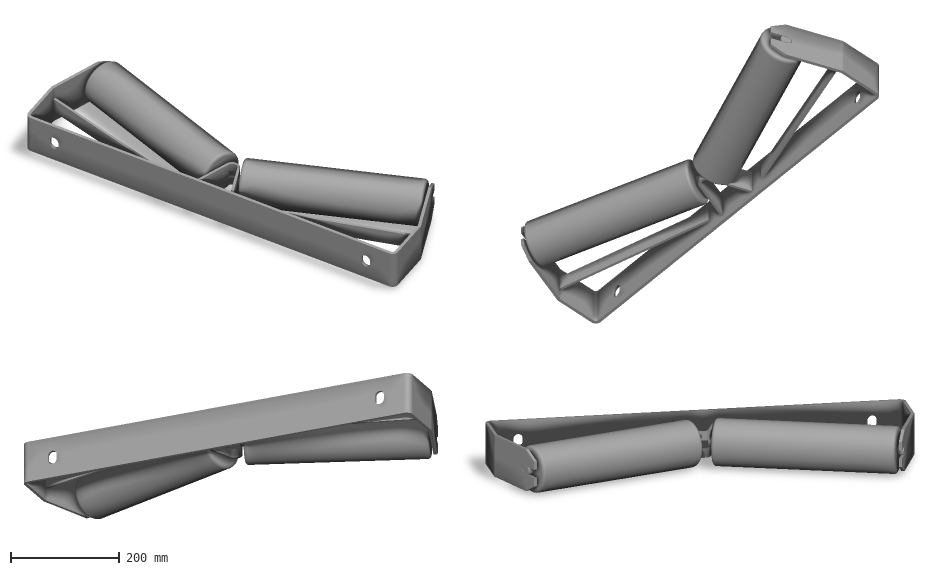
import cadquery as cq
import math

TILT = 20.0
SIN = math.sin(math.radians(TILT))
COS = math.cos(math.radians(TILT))

FRAME_WIDTH = 790.0
STRIP_HEIGHT = 80.0
PLATE = 6.0
FRAME_BEND = 12.0
KNEE_Y = 96.0
TIP_LENGTH = 30.0
TIP_CHAMFER_LENGTH = 30.0
TIP_CHAMFER_HEIGHT = 16.0
MOUNT_SPACING = 666.0
MOUNT_WIDTH = 18.0
MOUNT_LENGTH = 26.0

BRACKET_HEIGHT = 50.0
BRACKET_PLATE = 5.0
BRACKET_TOP = 96.0
BRACKET_BEND = 15.0

ROLLER_DIAMETER = 89.0
ROLLER_LENGTH = 344.0
ROLLER_ROUND = 6.0
AXLE_DIAMETER = 20.0
AXLE_FLATS = 14.0
AXLE_SLOT = 16.0
AXIS_OFFSET = 68.2

STRUT_PLATE = 5.0
STRUT_HEIGHT = 30.0
STRUT_TOP_Y = 96.0
STRUT_EMBED = PLATE / 2
STRUT_FOOT_X = 74.0

HALF_WIDTH = FRAME_WIDTH / 2
LEG_OUTER = -HALF_WIDTH * COS - KNEE_Y * SIN
LEG_INNER = LEG_OUTER + PLATE
BRACKET_CENTRE_Y = BRACKET_TOP - BRACKET_BEND
BRACKET_OUTER = -BRACKET_CENTRE_Y * SIN - BRACKET_BEND
BRACKET_INNER = BRACKET_OUTER + BRACKET_PLATE
ROLLER_MIDDLE = (LEG_INNER + BRACKET_OUTER) / 2

ACROSS_PLANE = cq.Plane(
    origin=(AXIS_OFFSET * SIN, AXIS_OFFSET * COS, 0),
    xDir=(SIN, COS, 0),
    normal=(COS, -SIN, 0),
)


def mirrored(shape):
    """Copy of a left-hand shape on the right-hand side."""
    return shape.mirror("YZ")


def centred_extrude(sketch, height):
    """Extrude an XY outline equally up and down."""
    return sketch.extrude(height / 2, both=True)


def axle_slot(start, end):
    """Slot cutter, open away from the base, with its round end seated under the axle."""
    half = AXLE_SLOT / 2
    flat = AXLE_FLATS / 2
    axle_corner = -math.sqrt((AXLE_DIAMETER / 2) ** 2 - flat**2)
    end_centre = axle_corner + math.sqrt(half**2 - flat**2)
    reach = 2 * TIP_LENGTH
    return (
        cq.Workplane(ACROSS_PLANE)
        .workplane(offset=start)
        .moveTo(reach, half)
        .lineTo(end_centre, half)
        .threePointArc((end_centre - half, 0), (end_centre, -half))
        .lineTo(reach, -half)
        .close()
        .extrude(end - start)
    )


def bent_block(left_points, radius):
    """Symmetric block through the given left-hand points, rounded at its corners and knees."""
    right_points = [(-x, y) for x, y in reversed(left_points)]
    outline = cq.Workplane("XY").polyline(left_points + right_points).close()
    block = centred_extrude(outline, STRIP_HEIGHT)
    bends = block.edges("|Z").filter(lambda edge: edge.Center().y <= KNEE_Y)
    return bends.fillet(radius)


def bent_strip():
    """Base, upright sides and tilted legs: an outer block hollowed by an inner one."""
    tip_across = AXIS_OFFSET + TIP_LENGTH
    outer_tip = (
        LEG_OUTER * COS + tip_across * SIN,
        -LEG_OUTER * SIN + tip_across * COS,
    )
    inner_tip = (outer_tip[0] + PLATE * COS, outer_tip[1] - PLATE * SIN)
    inner_x = -HALF_WIDTH + PLATE
    inner_knee_y = KNEE_Y - PLATE * math.tan(math.radians(TILT / 2))
    outer_points = [(-HALF_WIDTH, 0), (-HALF_WIDTH, KNEE_Y), outer_tip, inner_tip]
    inner_points = [(inner_x, PLATE), (inner_x, inner_knee_y), inner_tip]
    hollow = bent_block(inner_points, FRAME_BEND - PLATE)
    return bent_block(outer_points, FRAME_BEND).cut(hollow)


def tip_corners():
    """Cutter for the two sloped corners at the left leg tip."""
    half = STRIP_HEIGHT / 2
    corners = cq.Workplane(ACROSS_PLANE).workplane(offset=LEG_OUTER)
    for side in (-1, 1):
        corners = corners.polyline([
            (TIP_LENGTH, side * half),
            (TIP_LENGTH - TIP_CHAMFER_LENGTH, side * half),
            (TIP_LENGTH, side * (half - TIP_CHAMFER_HEIGHT)),
        ]).close()
    return corners.extrude(PLATE)


def make_frame():
    frame = bent_strip()
    for cutter in (tip_corners(), axle_slot(LEG_OUTER, LEG_INNER)):
        frame = frame.cut(cutter).cut(mirrored(cutter))
    mounts = (
        cq.Workplane("XZ")
        .pushPoints([(-MOUNT_SPACING / 2, 0), (MOUNT_SPACING / 2, 0)])
        .slot2D(MOUNT_LENGTH, MOUNT_WIDTH, 90)
        .extrude(-PLATE)
    )
    return frame.cut(mounts)


def make_bracket():
    """Inverted V standing on the base, slotted over the bend for both axles."""
    def face_points(radius):
        """Foot and bend tangent point on the left face at this bend radius."""
        tangent = (-radius * COS, BRACKET_CENTRE_Y + radius * SIN)
        drop = tangent[1] - PLATE
        foot = (tangent[0] - drop * SIN / COS, PLATE)
        return foot, tangent

    inner_radius = BRACKET_BEND - BRACKET_PLATE
    outer_foot, outer_tangent = face_points(BRACKET_BEND)
    inner_foot, inner_tangent = face_points(inner_radius)
    outline = (
        cq.Workplane("XY")
        .moveTo(*outer_foot)
        .lineTo(*outer_tangent)
        .threePointArc((0, BRACKET_TOP), (-outer_tangent[0], outer_tangent[1]))
        .lineTo(-outer_foot[0], PLATE)
        .lineTo(-inner_foot[0], PLATE)
        .lineTo(-inner_tangent[0], inner_tangent[1])
        .threePointArc((0, BRACKET_CENTRE_Y + inner_radius), inner_tangent)
        .lineTo(*inner_foot)
        .close()
    )
    bracket = centred_extrude(outline, BRACKET_HEIGHT)
    slot = axle_slot(BRACKET_OUTER, BRACKET_INNER + BRACKET_BEND)
    return bracket.cut(slot).cut(mirrored(slot))


def make_left_strut(frame):
    """Flat brace from the frame side to the base, ending flush on the side."""
    top_x = -HALF_WIDTH + PLATE
    foot_y = PLATE + STRUT_PLATE / 2
    run = top_x + STRUT_FOOT_X
    rise = STRUT_TOP_Y - foot_y
    length = math.hypot(run, rise)
    direction = math.degrees(math.atan2(rise, run))
    bar = (
        cq.Workplane("XY")
        .box(length + STRUT_EMBED, STRUT_PLATE, STRUT_HEIGHT, centered=(False, True, True))
        .rotate((0, 0, 0), (0, 0, 1), direction)
        .translate((-STRUT_FOOT_X, foot_y, 0))
    )
    return bar.cut(frame)


def make_left_roller():
    axis = cq.Workplane(ACROSS_PLANE)
    shell = (
        axis.workplane(offset=ROLLER_MIDDLE - ROLLER_LENGTH / 2)
        .circle(ROLLER_DIAMETER / 2)
        .extrude(ROLLER_LENGTH)
        .edges()
        .fillet(ROLLER_ROUND)
    )
    axle = (
        axis.workplane(offset=LEG_INNER)
        .circle(AXLE_DIAMETER / 2)
        .extrude(BRACKET_OUTER - LEG_INNER)
    )
    flats = (
        axis.workplane(offset=LEG_OUTER)
        .circle(AXLE_DIAMETER / 2)
        .extrude(BRACKET_INNER - LEG_OUTER)
        .intersect(cq.Workplane("XY").box(FRAME_WIDTH, FRAME_WIDTH, AXLE_FLATS))
    )
    return shell.union(axle).union(flats)


frame = make_frame()
bracket = make_bracket()
left_strut = make_left_strut(frame)
left_roller = make_left_roller()

result = cq.Compound.makeCompound([
    frame.val(),
    bracket.val(),
    left_strut.val(),
    mirrored(left_strut).val(),
    left_roller.val(),
    mirrored(left_roller).val(),
])